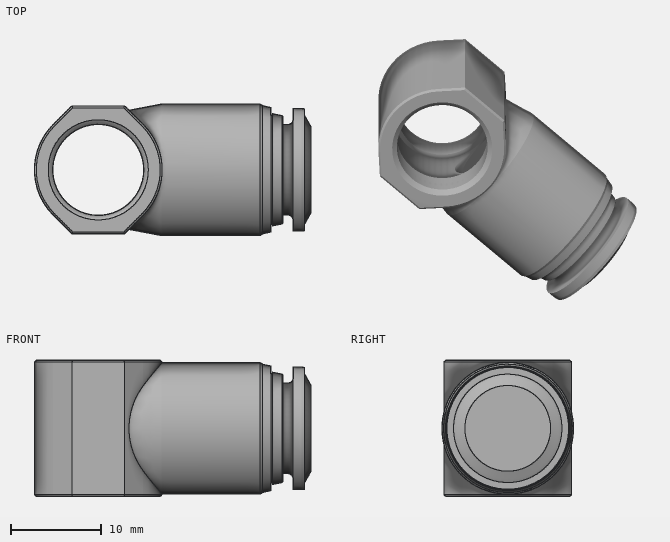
import cadquery as cq
import math

total_length = 30.4
head_height = 15.0
head_radius = 7.02
head_edge_chamfer = 0.2

bore_radius = 5.0
bore_chamfer = 0.52
groove_radius = 5.47
groove_half_height = 3.53
port_radius = 3.0
port_depth = 5.53

body_radius = 7.25
body_start = 14.0
body_end = 24.8
shoulder_slope = 0.19
lip_start = 25.08
lip_start_radius = 7.05
lip_end = 26.0
lip_end_radius = 6.85

ring_gap_radius = 6.02
ring_start = 26.17
ring_start_radius = 6.17
ring_end = 27.3
ring_end_radius = 5.95
ring_bevel = 0.1

neck_radius = 5.0
neck_fillet = 0.55
collar_start = 28.42
collar_radius = 6.75
collar_end = 29.7
collar_bevel_length = 0.3
collar_bevel_drop = 0.05
nose_base_radius = 5.95
nose_tip_radius = 4.7

head_x = head_radius
half_height = head_height / 2


def make_head():
    """Round post with flats on +-Y and tangent 45 degree faces beside each flat."""
    half_flat = head_radius * math.tan(math.radians(22.5))
    tangent = head_radius * math.sqrt(0.5)
    return (
        cq.Workplane("XY", origin=(head_x, 0, -half_height))
        .moveTo(half_flat, head_radius)
        .lineTo(-half_flat, head_radius)
        .lineTo(-tangent, tangent)
        .threePointArc((-head_radius, 0), (-tangent, -tangent))
        .lineTo(-half_flat, -head_radius)
        .lineTo(half_flat, -head_radius)
        .lineTo(tangent, -tangent)
        .threePointArc((head_radius, 0), (tangent, tangent))
        .close()
        .extrude(head_height)
        .faces("|Z")
        .edges()
        .chamfer(head_edge_chamfer)
    )


def make_socket():
    """Turned socket, retaining ring and release collar around the X axis."""
    shoulder_radius = body_radius - shoulder_slope * (body_start - head_x)
    fillet_shift = neck_fillet * (1 - math.sqrt(0.5))
    return (
        cq.Workplane("XY")
        .moveTo(head_x, 0)
        .lineTo(head_x, shoulder_radius)
        .lineTo(body_start, body_radius)
        .lineTo(body_end, body_radius)
        .lineTo(lip_start, lip_start_radius)
        .lineTo(lip_end, lip_end_radius)
        .lineTo(lip_end, ring_gap_radius)
        .lineTo(ring_start, ring_gap_radius)
        .lineTo(ring_start, ring_start_radius)
        .lineTo(ring_end - ring_bevel, ring_end_radius)
        .lineTo(ring_end, ring_end_radius - ring_bevel)
        .lineTo(ring_end, neck_radius)
        .lineTo(collar_start - neck_fillet, neck_radius)
        .threePointArc(
            (collar_start - fillet_shift, neck_radius + fillet_shift),
            (collar_start, neck_radius + neck_fillet),
        )
        .lineTo(collar_start, collar_radius)
        .lineTo(collar_end - collar_bevel_length, collar_radius)
        .lineTo(collar_end, collar_radius - collar_bevel_drop)
        .lineTo(collar_end, nose_base_radius)
        .lineTo(total_length, nose_tip_radius)
        .lineTo(total_length, 0)
        .close()
        .revolve(360, (0, 0, 0), (1, 0, 0))
    )


def make_bore():
    """Through bore with chamfered mouths and a wide groove at mid height."""
    mouth_radius = bore_radius + bore_chamfer
    chamfer_z = half_height - bore_chamfer
    return (
        cq.Workplane("XZ", origin=(head_x, 0, 0))
        .moveTo(0, -half_height)
        .lineTo(mouth_radius, -half_height)
        .lineTo(bore_radius, -chamfer_z)
        .lineTo(bore_radius, -groove_half_height)
        .lineTo(groove_radius, -groove_half_height)
        .lineTo(groove_radius, groove_half_height)
        .lineTo(bore_radius, groove_half_height)
        .lineTo(bore_radius, chamfer_z)
        .lineTo(mouth_radius, half_height)
        .lineTo(0, half_height)
        .close()
        .revolve(360, (0, 0, 0), (0, 1, 0))
    )


def make_port():
    """Flat-bottomed blind port from the bore axis towards the socket."""
    return cq.Workplane("YZ", origin=(head_x, 0, 0)).circle(port_radius).extrude(port_depth)


result = make_head().union(make_socket()).cut(make_bore()).cut(make_port())